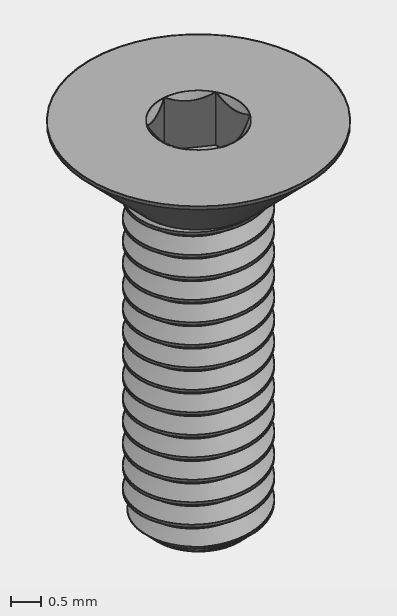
import cadquery as cq
import math


length = 8.0
head_diameter = 5.0
rim_height = 0.07

major_diameter = 2.5
core_diameter = 1.92
pitch = 0.45
flank_angle = 30.0
crest_width = pitch / 8
crest_depth_at_x = 1.77
turns_below = 15
turns_above = 1.5
root_overlap = 0.03

tip_diameter = 1.85

socket_width = 1.5
socket_depth = 1.06
hexagon_turn = 30.0
socket_chamfer_angle = 45.0

head_radius = head_diameter / 2
major_radius = major_diameter / 2
core_radius = core_diameter / 2
tip_radius = tip_diameter / 2
socket_corner_radius = socket_width / math.sqrt(3)


def revolve_about_z(profile):
    """Full revolution of a closed (radius, height) outline about the screw axis."""
    return cq.Workplane("XZ").polyline(profile).close().revolve(360, (0, 0), (0, 1))


def make_head():
    """Thin rim above a 90 degree cone that narrows down to the thread core."""
    cone_end = -rim_height - (head_radius - core_radius)
    profile = [
        (0, 0),
        (head_radius, 0),
        (head_radius, -rim_height),
        (core_radius, cone_end),
        (0, cone_end),
    ]
    return revolve_about_z(profile)


def make_core():
    """Plain cylinder at the thread root, running from the head to the tip."""
    return cq.Workplane("XY").circle(core_radius).extrude(-length)


def make_thread():
    """Right-handed ridge with a narrow flat crest, bounded by helical ruled faces."""
    start_z = -crest_depth_at_x - turns_below * pitch
    helix_height = (turns_below + turns_above) * pitch
    inner_radius = core_radius - root_overlap
    half_crest = crest_width / 2
    half_root = half_crest + (major_radius - inner_radius) * math.tan(math.radians(flank_angle))
    ridge = [
        (inner_radius, -half_root),
        (major_radius, -half_crest),
        (major_radius, half_crest),
        (inner_radius, half_root),
    ]
    helices = [
        cq.Wire.makeHelix(pitch, helix_height, radius, center=cq.Vector(0, 0, start_z + offset))
        for radius, offset in ridge
    ]
    faces = []
    for helix, next_helix in zip(helices, helices[1:] + helices[:1]):
        faces.extend(cq.Face.makeRuledSurface(helix, next_helix).Faces())
    start_corners = [helix.startPoint() for helix in helices]
    end_corners = [helix.endPoint() for helix in helices]
    for corners in (start_corners, end_corners):
        faces.append(cq.Face.makeFromWires(cq.Wire.makePolygon(corners, close=True)))
    return cq.Workplane(obj=cq.Solid.makeSolid(cq.Shell.makeShell(faces)))


def make_envelope():
    """Head-wide cylinder whose 45 degree chamfer bounds the tip."""
    profile = [
        (0, 0),
        (head_radius, 0),
        (head_radius, -length + head_radius - tip_radius),
        (tip_radius, -length),
        (0, -length),
    ]
    return revolve_about_z(profile)


def make_socket():
    """Hexagonal recess with corners on the Y axis and a conical lead-in."""
    recess = (
        cq.Workplane("XY")
        .polygon(6, 2 * socket_corner_radius)
        .extrude(-socket_depth)
        .rotate((0, 0, 0), (0, 0, 1), hexagon_turn)
    )
    cone_height = socket_corner_radius * math.tan(math.radians(socket_chamfer_angle))
    lead_in = revolve_about_z([(0, 0), (socket_corner_radius, 0), (0, -cone_height)])
    return recess.union(lead_in)


trimmed_thread = make_thread().intersect(make_envelope())
threaded_shank = trimmed_thread.union(make_core().intersect(make_envelope()))
result = threaded_shank.union(make_head()).cut(make_socket())